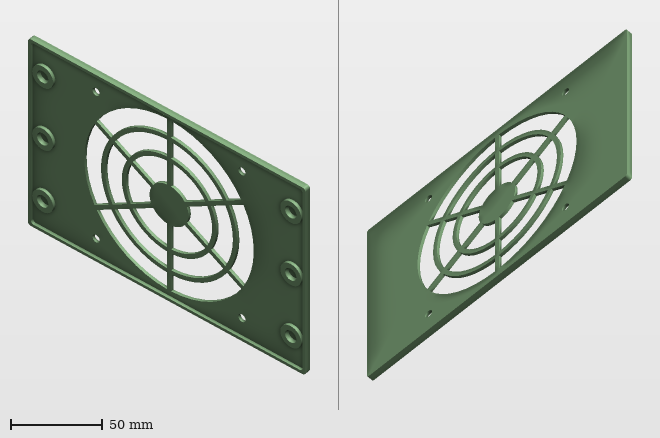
import cadquery as cq

LENGTH_X = 199.6
HEIGHT_Z = 133.45
THICKNESS = 4.0
CORNER_RADIUS = 2.0

RIM_WIDTH = 2.0
RIM_HEIGHT = 2.0
RECESS_CORNER_RADIUS = 2.0
WEB_THICKNESS = THICKNESS - RIM_HEIGHT

OPENING_RADIUS = 61.0
HUB_RADIUS = 14.0
GUARD_BAR_WIDTH = 3.0
RING_OUTER_RADII = (34.0, 49.0)
SPOKE_BAR_COUNT = 3
SPOKE_BAR_STEP = 180.0 / SPOKE_BAR_COUNT

SCREW_HOLE_DIAMETER = 5.2
SCREW_HOLE_SPACING = 105.0

BOSS_DIAMETER = 15.0
BOSS_HEIGHT = 2.0
BOSS_BORE_DIAMETER = 8.2
BOSS_BORE_DEPTH = 3.0
BOSS_COLUMN_SPACING = 178.6
BOSS_PITCH_Z = 44.5
BOSSES_PER_COLUMN = 3

BACK_Y = THICKNESS / 2
FLOOR_Y = BACK_Y - WEB_THICKNESS
BOSS_TOP_Y = FLOOR_Y - BOSS_HEIGHT


def plane_at(y):
    """Workplane parallel to XZ at depth y; extruding goes toward -Y."""
    return cq.Workplane("XZ", origin=(0, y, 0))


def make_rimmed_plate():
    plate = plane_at(BACK_Y).rect(LENGTH_X, HEIGHT_Z).extrude(THICKNESS)
    plate = plate.edges("|Y").fillet(CORNER_RADIUS)
    recess = (
        plane_at(FLOOR_Y)
        .rect(LENGTH_X - 2 * RIM_WIDTH, HEIGHT_Z - 2 * RIM_WIDTH)
        .extrude(RIM_HEIGHT)
        .edges("|Y")
        .fillet(RECESS_CORNER_RADIUS)
    )
    return plate.cut(recess)


def make_finger_guard():
    """Hub, concentric rings and spokes, as thick as the web."""
    guard = plane_at(BACK_Y).circle(HUB_RADIUS).extrude(WEB_THICKNESS)
    for outer_radius in RING_OUTER_RADII:
        ring = plane_at(BACK_Y).circle(outer_radius).circle(outer_radius - GUARD_BAR_WIDTH)
        guard = guard.union(ring.extrude(WEB_THICKNESS))
    upright_bar = plane_at(BACK_Y).rect(GUARD_BAR_WIDTH, 2 * OPENING_RADIUS).extrude(WEB_THICKNESS)
    for index in range(SPOKE_BAR_COUNT):
        guard = guard.union(upright_bar.rotate((0, 0, 0), (0, 1, 0), index * SPOKE_BAR_STEP))
    return guard


def make_fan_opening():
    """Openings between the guard bars."""
    disc = plane_at(BACK_Y).circle(OPENING_RADIUS).extrude(WEB_THICKNESS)
    return disc.cut(make_finger_guard())


def make_screw_holes():
    return (
        plane_at(BACK_Y)
        .rarray(SCREW_HOLE_SPACING, SCREW_HOLE_SPACING, 2, 2)
        .circle(SCREW_HOLE_DIAMETER / 2)
        .extrude(WEB_THICKNESS)
    )


def make_boss_cylinders(start_y, diameter, length):
    """One cylinder at each boss position, reaching from start_y toward -Y."""
    return (
        plane_at(start_y)
        .rarray(BOSS_COLUMN_SPACING, BOSS_PITCH_Z, 2, BOSSES_PER_COLUMN)
        .circle(diameter / 2)
        .extrude(length)
    )


bosses = make_boss_cylinders(FLOOR_Y, BOSS_DIAMETER, BOSS_HEIGHT)
boss_bores = make_boss_cylinders(BOSS_TOP_Y + BOSS_BORE_DEPTH, BOSS_BORE_DIAMETER, BOSS_BORE_DEPTH)

result = (
    make_rimmed_plate()
    .cut(make_fan_opening())
    .cut(make_screw_holes())
    .union(bosses)
    .cut(boss_bores)
)